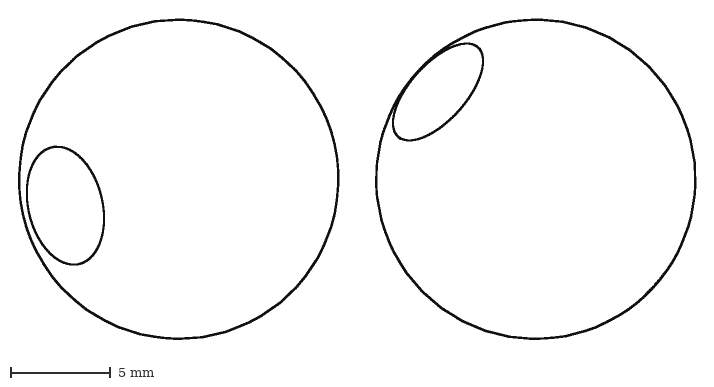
import cadquery as cq
import math

ball_diameter = 16.0
hole_diameter = 6.0

ball_radius = ball_diameter / 2
hole_radius = hole_diameter / 2

rim_y = math.sqrt(ball_radius**2 - hole_radius**2)


def make_bead():
    """Revolve the segment between the hole wall and the ball surface about Y."""
    profile = (
        cq.Workplane("XY")
        .moveTo(hole_radius, -rim_y)
        .threePointArc((ball_radius, 0), (hole_radius, rim_y))
        .close()
    )
    return profile.revolve(360, (0, 0, 0), (0, 1, 0))


result = make_bead()